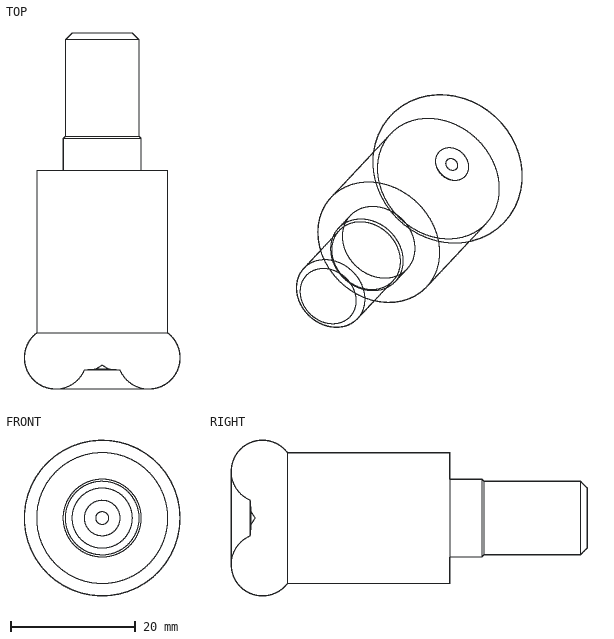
import cadquery as cq
import math


total_length = 57.0
collar_start = 35.0
collar_length = 5.5
collar_end = collar_start + collar_length

body_radius = 21.0 / 2
collar_radius = 12.5 / 2
stud_radius = 11.8 / 2
stud_chamfer = 1.1
collar_chamfer = collar_radius - stud_radius

head_radius = 24.95 / 2
ring_radius = 5.0
ring_center_radius = head_radius - ring_radius

floor_radius = 2.85
floor_slope = math.radians(5)
mark_radius = 1.0
mark_half_angle = math.radians(59)


def ring_rise(radius):
    """Axial distance between the ring center plane and the ring surface at a radius."""
    return math.sqrt(ring_radius**2 - (radius - ring_center_radius) ** 2)


floor_edge = ring_radius - ring_rise(floor_radius)
mark_edge = floor_edge + (floor_radius - mark_radius) * math.tan(floor_slope)
mark_tip = mark_edge + mark_radius / math.tan(mark_half_angle)
ring_end = ring_radius + ring_rise(body_radius)

profile = (
    cq.Workplane("XY")
    .moveTo(0, mark_tip)
    .lineTo(mark_radius, mark_edge)
    .lineTo(floor_radius, floor_edge)
    .threePointArc((head_radius, ring_radius), (body_radius, ring_end))
    .lineTo(body_radius, collar_start)
    .lineTo(collar_radius, collar_start)
    .lineTo(collar_radius, collar_end - collar_chamfer)
    .lineTo(stud_radius, collar_end)
    .lineTo(stud_radius, total_length - stud_chamfer)
    .lineTo(stud_radius - stud_chamfer, total_length)
    .lineTo(0, total_length)
    .close()
)

result = profile.revolve(360, (0, 0, 0), (0, 1, 0))